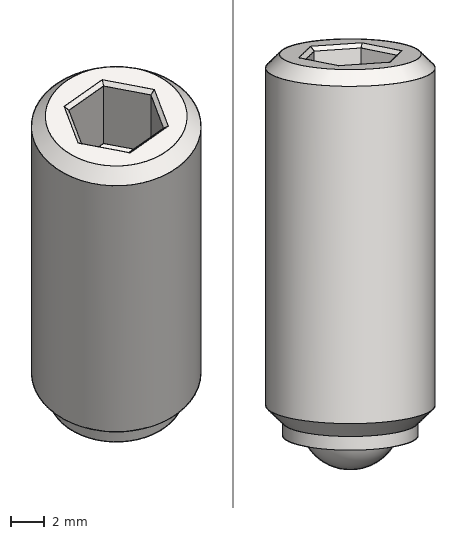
import cadquery as cq
import math

total_height = 25.0
body_diameter = 10.0
collar_diameter = 8.0
ball_diameter = 6.0
ball_protrusion = 2.0
collar_height = 0.82
top_chamfer = 0.82

socket_across_flats = 5.0
socket_depth = 5.0
socket_chamfer = 0.25

body_radius = body_diameter / 2
collar_radius = collar_diameter / 2
bottom_chamfer = body_radius - collar_radius
collar_bottom = ball_protrusion
collar_top = collar_bottom + collar_height


def make_body():
    """Turned body with a chamfer at each end and a short collar below."""
    profile = [
        (0, collar_bottom),
        (collar_radius, collar_bottom),
        (collar_radius, collar_top),
        (body_radius, collar_top + bottom_chamfer),
        (body_radius, total_height - top_chamfer),
        (body_radius - top_chamfer, total_height),
        (0, total_height),
    ]
    return cq.Workplane("XZ").polyline(profile).close().revolve(360, (0, 0), (0, 1))


def make_ball():
    """Ball seated in the collar, protruding from its lower face."""
    radius = ball_diameter / 2
    return cq.Workplane("XY").sphere(radius).translate((0, 0, radius))


def hexagon_corners_diameter(across_flats):
    return across_flats / math.cos(math.pi / 6)


def make_socket():
    """Blind hexagon socket with a flared mouth at the top face."""
    mouth_across_flats = socket_across_flats + 2 * socket_chamfer
    straight = (
        cq.Workplane("XY", origin=(0, 0, total_height - socket_depth))
        .polygon(6, hexagon_corners_diameter(socket_across_flats))
        .extrude(socket_depth)
    )
    mouth = (
        cq.Workplane("XY", origin=(0, 0, total_height - socket_chamfer))
        .polygon(6, hexagon_corners_diameter(socket_across_flats))
        .workplane(offset=socket_chamfer)
        .polygon(6, hexagon_corners_diameter(mouth_across_flats))
        .loft(combine=True)
    )
    return straight.union(mouth)


result = make_body().union(make_ball()).cut(make_socket())